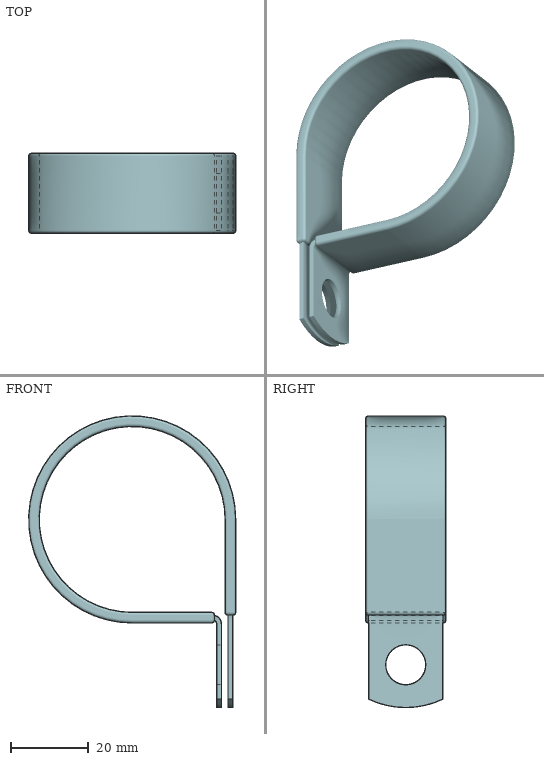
import cadquery as cq
import math

ARC_MIDDLE = math.sqrt(0.5)

outer_radius = 26.6
cushion_width = 20.6
cushion_cover = 0.75
strap_thickness = 1.3
cushion_thickness = strap_thickness + 2 * cushion_cover
cushion_end_z = -24.6
cushion_end_x = 21.15

strap_width = cushion_width - 2 * cushion_cover
strap_outer_radius = outer_radius - cushion_cover
tab_bottom_z = -48.4
inner_tab_x = 22.95
bend_outer_radius = 2.25
tab_end_sagitta = 2.2
hole_diameter = 10.2
hole_z = -37.35


def band(radius, thickness, width, end_x, end_z):
    """Flat band: upright run, three-quarter circle, level run, centred on Y."""
    inner = radius - thickness
    return (
        cq.Workplane("XZ")
        .moveTo(radius, end_z)
        .lineTo(radius, 0)
        .threePointArc((-radius * ARC_MIDDLE, radius * ARC_MIDDLE), (0, -radius))
        .lineTo(end_x, -radius)
        .lineTo(end_x, -inner)
        .lineTo(0, -inner)
        .threePointArc((-inner * ARC_MIDDLE, inner * ARC_MIDDLE), (inner, 0))
        .lineTo(inner, end_z)
        .close()
        .extrude(width / 2, both=True)
    )


def bent_tab():
    """Bend leaving the level run, followed by the downward tab."""
    bend_x = inner_tab_x - bend_outer_radius
    top_z = strap_thickness - strap_outer_radius
    bend_z = top_z - bend_outer_radius
    bend_inner_radius = bend_outer_radius - strap_thickness
    return (
        cq.Workplane("XZ")
        .moveTo(bend_x, top_z)
        .threePointArc(
            (bend_x + bend_outer_radius * ARC_MIDDLE, bend_z + bend_outer_radius * ARC_MIDDLE),
            (inner_tab_x, bend_z),
        )
        .lineTo(inner_tab_x, tab_bottom_z)
        .lineTo(inner_tab_x - strap_thickness, tab_bottom_z)
        .lineTo(inner_tab_x - strap_thickness, bend_z)
        .threePointArc(
            (bend_x + bend_inner_radius * ARC_MIDDLE, bend_z + bend_inner_radius * ARC_MIDDLE),
            (bend_x, -strap_outer_radius),
        )
        .close()
        .extrude(strap_width / 2, both=True)
    )


def tab_outline():
    """Solid seen along X: straight sides, arced lower end and a round hole."""
    half_width = strap_width / 2
    shoulder_z = tab_bottom_z + tab_end_sagitta
    return (
        cq.Workplane("YZ")
        .moveTo(-half_width, outer_radius)
        .lineTo(-half_width, shoulder_z)
        .threePointArc((0, tab_bottom_z), (half_width, shoulder_z))
        .lineTo(half_width, outer_radius)
        .close()
        .moveTo(0, hole_z)
        .circle(hole_diameter / 2)
        .extrude(outer_radius, both=True)
    )


cushion = band(
    outer_radius, cushion_thickness, cushion_width, cushion_end_x, cushion_end_z
).edges().fillet(cushion_cover)

strap = band(
    strap_outer_radius,
    strap_thickness,
    strap_width,
    inner_tab_x - bend_outer_radius,
    tab_bottom_z,
).union(bent_tab()).intersect(tab_outline())

result = cushion.union(strap)